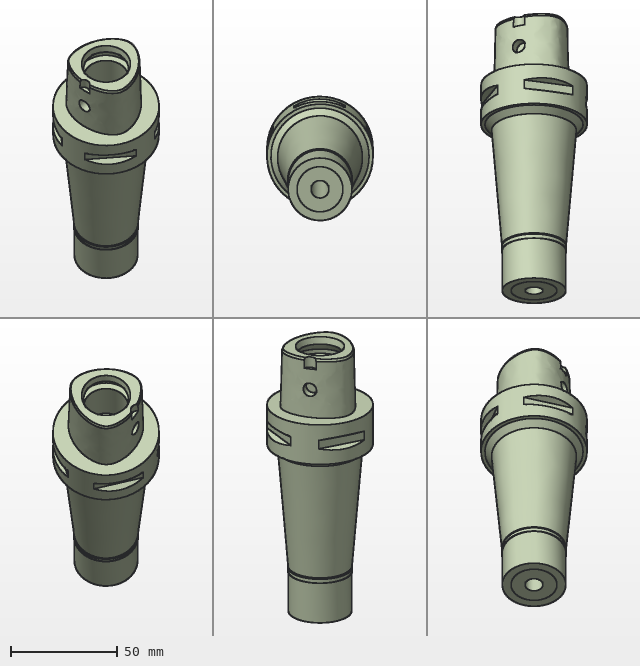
import cadquery as cq
import math

TOTAL_HEIGHT = 135.0
SHANK_LENGTH = 29.7
FLANGE_HEIGHT = 20.1
FLANGE_CHAMFER_HEIGHT = 3.1
FLANGE_BASE_Z = TOTAL_HEIGHT - SHANK_LENGTH - FLANGE_HEIGHT
FLANGE_TOP_Z = FLANGE_BASE_Z + FLANGE_HEIGHT
CONE_TOP_Z = FLANGE_BASE_Z - FLANGE_CHAMFER_HEIGHT
CONE_BASE_Z = 23.1
NUT_TOP_Z = 22.4
NUT_COLLAR_HEIGHT = 2.0

FLANGE_RADIUS = 25.0
FLANGE_CHAMFER_RADIUS = 23.1
CONE_TOP_RADIUS = 20.0
CONE_BASE_RADIUS = 15.1
NECK_RADIUS = 10.8
NUT_COLLAR_RADIUS = 15.3
NUT_RADIUS = 15.0

SHANK_BASE_RADIUS = 17.7
SHANK_TAPER = 1 / 40
LOBE_SIZE = 1.2
LOBE_COUNT = 3
CURVE_POINTS = 72
SHANK_CHAMFER_HEIGHT = 1.2
SHANK_CHAMFER_WIDTH = 0.5

MOUTH_RADIUS = 11.5
MOUTH_DEPTH = 3.4
GROOVE_RADIUS = 13.8
GROOVE_DEPTH = 7.3
GROOVE_END_DEPTH = 9.5
UPPER_BORE_RADIUS = 10.5
UPPER_BORE_DEPTH = 29.7
MIDDLE_BORE_RADIUS = 7.3
MIDDLE_BORE_DEPTH = 45.9
LOWER_BORE_RADIUS = 5.1
LOWER_BORE_DEPTH = 62.1
THROUGH_RADIUS = 4.2

KEY_RADIUS = 3.2
NOTCH_DEPTH = 5.3
NOTCH_AXIS_Y = -17.0
POCKET_Z = 119.2
POCKET_FLOOR_Y = -11.5

SLOT_COUNT = 4
SLOT_FIRST_ANGLE = 45
SLOT_FLOOR_DISTANCE = 21.9
SLOT_FLOOR_HEIGHT = 4.3
SLOT_MOUTH_HEIGHT = 6.6
SLOT_Z = FLANGE_BASE_Z + FLANGE_HEIGHT / 2


def lobed_wire(mean_radius, z):
    """Closed curve of constant width with one lobe pointing to +Y."""

    def curve_point(index):
        angle = 2 * math.pi * index / CURVE_POINTS - math.pi / 2
        phase = LOBE_COUNT * (angle - math.pi / 2)
        reach = mean_radius + LOBE_SIZE * math.cos(phase)
        reach_slope = -LOBE_COUNT * LOBE_SIZE * math.sin(phase)
        x = reach * math.cos(angle) - reach_slope * math.sin(angle)
        y = reach * math.sin(angle) + reach_slope * math.cos(angle)
        return cq.Vector(x, y, z)

    points = [curve_point(index) for index in range(CURVE_POINTS)]
    return cq.Wire.assembleEdges([cq.Edge.makeSpline(points, periodic=True)])


def make_shank():
    chamfer_z = TOTAL_HEIGHT - SHANK_CHAMFER_HEIGHT
    chamfer_radius = SHANK_BASE_RADIUS - SHANK_TAPER * (chamfer_z - FLANGE_TOP_Z)
    base = lobed_wire(SHANK_BASE_RADIUS, FLANGE_TOP_Z)
    shoulder = lobed_wire(chamfer_radius, chamfer_z)
    top = lobed_wire(chamfer_radius - SHANK_CHAMFER_WIDTH, TOTAL_HEIGHT)
    taper = cq.Workplane(cq.Solid.makeLoft([base, shoulder], True))
    chamfer = cq.Workplane(cq.Solid.makeLoft([shoulder, top], True))
    return taper.union(chamfer)


def make_turned_body():
    """Flange, tapered stem and the neck that carries the nut."""
    return (
        cq.Workplane("XZ")
        .moveTo(0, 0)
        .lineTo(NECK_RADIUS, 0)
        .lineTo(NECK_RADIUS, CONE_BASE_Z)
        .lineTo(CONE_BASE_RADIUS, CONE_BASE_Z)
        .lineTo(CONE_TOP_RADIUS, CONE_TOP_Z)
        .lineTo(FLANGE_CHAMFER_RADIUS, FLANGE_BASE_Z)
        .lineTo(FLANGE_RADIUS, FLANGE_BASE_Z)
        .lineTo(FLANGE_RADIUS, FLANGE_TOP_Z)
        .lineTo(0, FLANGE_TOP_Z)
        .close()
        .revolve(360, (0, 0, 0), (0, 1, 0))
    )


def make_bore():
    """Stepped cutter for the central bore, including the clamping groove."""
    steps = [
        (MOUTH_RADIUS, 0),
        (UPPER_BORE_RADIUS, MOUTH_DEPTH),
        (GROOVE_RADIUS, GROOVE_DEPTH),
        (GROOVE_RADIUS, GROOVE_END_DEPTH),
        (UPPER_BORE_RADIUS, GROOVE_END_DEPTH),
        (UPPER_BORE_RADIUS, UPPER_BORE_DEPTH),
        (MIDDLE_BORE_RADIUS, UPPER_BORE_DEPTH),
        (MIDDLE_BORE_RADIUS, MIDDLE_BORE_DEPTH),
        (LOWER_BORE_RADIUS, MIDDLE_BORE_DEPTH),
        (LOWER_BORE_RADIUS, LOWER_BORE_DEPTH),
        (THROUGH_RADIUS, LOWER_BORE_DEPTH),
        (THROUGH_RADIUS, TOTAL_HEIGHT),
    ]
    outline = [(0, TOTAL_HEIGHT)]
    outline += [(radius, TOTAL_HEIGHT - depth) for radius, depth in steps]
    outline += [(0, 0)]
    return cq.Workplane("XZ").polyline(outline).close().revolve(360, (0, 0, 0), (0, 1, 0))


def make_notch():
    """Keyway with a rounded back, open at the top and outer side of the shank."""
    notch_z = TOTAL_HEIGHT - NOTCH_DEPTH
    return (
        cq.Workplane("XY", origin=(0, NOTCH_AXIS_Y, notch_z))
        .circle(KEY_RADIUS)
        .extrude(NOTCH_DEPTH)
    )


def make_pocket():
    """Blind round pocket entering the shank from -Y."""
    return (
        cq.Workplane("XZ", origin=(0, POCKET_FLOOR_Y, POCKET_Z))
        .circle(KEY_RADIUS)
        .extrude(FLANGE_RADIUS + POCKET_FLOOR_Y)
    )


def make_slot(angle):
    """Slot across the flange with a flat floor and sides that flare outward."""
    half_floor = SLOT_FLOOR_HEIGHT / 2
    half_mouth = SLOT_MOUTH_HEIGHT / 2
    return (
        cq.Workplane("XZ")
        .moveTo(SLOT_FLOOR_DISTANCE, SLOT_Z - half_floor)
        .lineTo(FLANGE_RADIUS, SLOT_Z - half_mouth)
        .lineTo(FLANGE_RADIUS, SLOT_Z + half_mouth)
        .lineTo(SLOT_FLOOR_DISTANCE, SLOT_Z + half_floor)
        .close()
        .extrude(FLANGE_RADIUS, both=True)
        .rotate((0, 0, 0), (0, 0, 1), angle)
    )


def make_holder():
    holder = make_turned_body().union(make_shank())
    holder = holder.cut(make_bore()).cut(make_notch()).cut(make_pocket())
    for index in range(SLOT_COUNT):
        holder = holder.cut(make_slot(SLOT_FIRST_ANGLE + index * 360 / SLOT_COUNT))
    return holder


def make_nut():
    """Sleeve around the neck with a slightly wider collar at its top."""
    collar_base_z = NUT_TOP_Z - NUT_COLLAR_HEIGHT
    sleeve = cq.Workplane("XY").circle(NUT_RADIUS).extrude(NUT_TOP_Z)
    collar = (
        cq.Workplane("XY", origin=(0, 0, collar_base_z))
        .circle(NUT_COLLAR_RADIUS)
        .extrude(NUT_COLLAR_HEIGHT)
    )
    neck_hole = cq.Workplane("XY").circle(NECK_RADIUS).extrude(NUT_TOP_Z)
    return sleeve.union(collar).cut(neck_hole)


holder = make_holder()
nut = make_nut()
result = cq.Compound.makeCompound([holder.val(), nut.val()])